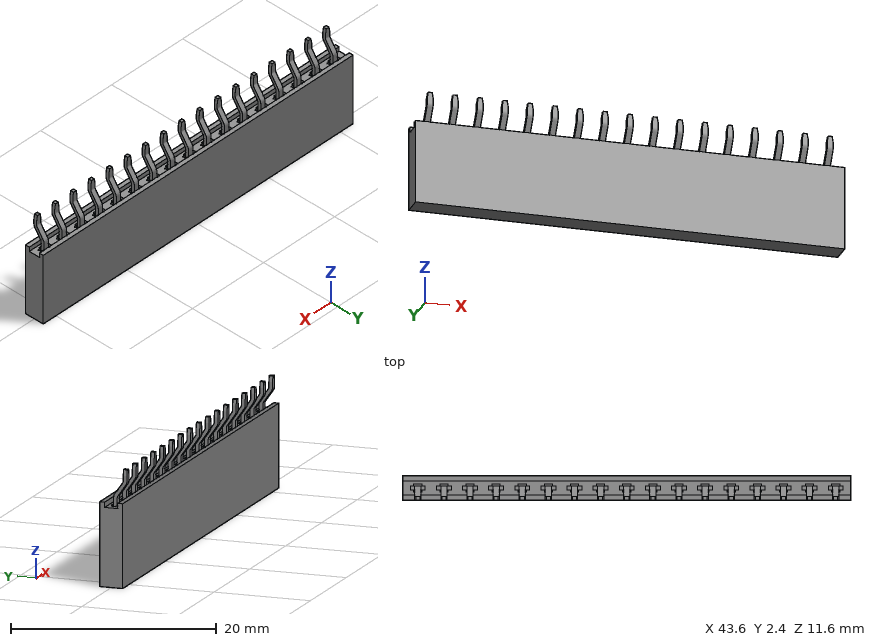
import cadquery as cq
import math

length = 43.6
depth = 2.4
housing_height = 8.5
rail_width = 0.52
channel_depth = 0.52

pin_count = 17
end_margin = 1.5
pitch = (length - 2 * end_margin) / (pin_count - 1)

cavity_depth = 0.52
cavity_side = 0.8
cavity_slot_length = 1.45
cavity_slot_width = 0.4

total_height = 11.6
pin_width = 0.6
pin_thickness = 0.4
tip_width = 0.4
tip_length = 0.6
upper_leg = 1.15
bend_angle = math.radians(35)
bend_radius = 0.5

floor_z = housing_height - channel_depth
cavity_floor_z = floor_z - cavity_depth
upper_bend_z = total_height - upper_leg
front_leg_y = -(depth - pin_thickness) / 2
bend_run = bend_radius * (1 - math.cos(bend_angle))
bend_rise = bend_radius * math.sin(bend_angle)
slope_run = abs(front_leg_y) - 2 * bend_run
slope_rise = slope_run / math.tan(bend_angle)
lower_bend_z = upper_bend_z - 2 * bend_rise - slope_rise
pin_positions = [(-length / 2 + end_margin + i * pitch, 0) for i in range(pin_count)]


def make_housing():
    """Bar with the top channel and one cross-shaped cavity per pin."""
    body = cq.Workplane("XY").box(length, depth, housing_height, centered=(True, True, False))
    channel = (
        cq.Workplane("XY", origin=(0, 0, floor_z))
        .rect(length, depth - 2 * rail_width)
        .extrude(channel_depth)
    )
    cavity_plane = cq.Workplane("XY", origin=(0, 0, cavity_floor_z)).pushPoints(pin_positions)
    squares = cavity_plane.rect(cavity_side, cavity_side).extrude(cavity_depth)
    slots = cavity_plane.rect(cavity_slot_length, cavity_slot_width).extrude(cavity_depth)
    return body.cut(channel).cut(squares).cut(slots)


def make_pin():
    """One pin at X = 0, standing on the cavity floor."""
    path = (
        cq.Workplane("YZ")
        .moveTo(0, cavity_floor_z)
        .lineTo(0, lower_bend_z)
        .tangentArcPoint((-bend_run, bend_rise))
        .line(-slope_run, slope_rise)
        .tangentArcPoint((-bend_run, bend_rise))
        .lineTo(front_leg_y, total_height)
    )
    strip = (
        cq.Workplane("XY", origin=(0, 0, cavity_floor_z))
        .rect(pin_width, pin_thickness)
        .sweep(path)
    )
    tip_side_cut = (pin_width - tip_width) / 2
    return strip.faces(">Z").edges("|Y").chamfer(tip_length, tip_side_cut)


pin = make_pin()
result = make_housing()
for position in pin_positions:
    result = result.union(pin.translate((*position, 0)))